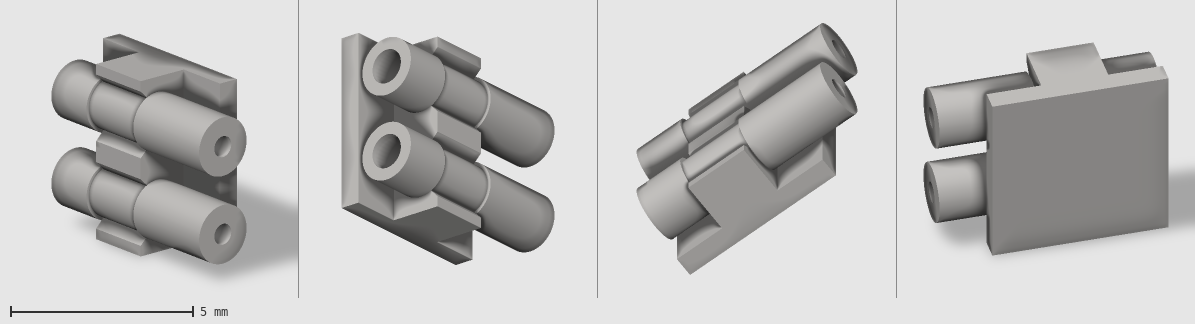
import cadquery as cq
import math

tube_length = 6.3
tube_pitch = 2.54
tube_count = 2
collar_radius = 0.85
collar_length = 1.5
neck_radius = 0.75
neck_length = 2.0

mouth_radius = 0.5
mouth_end_radius = 0.405
mouth_depth = collar_length
bore_radius = 0.3
funnel_length = 0.03

plate_length = 5.0
plate_thickness = 0.6
holder_height = tube_count * tube_pitch
rib_width = 1.9
rib_front_depth = 2.135
notch_half_opening = 0.965

axis_y = -1.59
rib_start = (plate_length - rib_width) / 2
tube_heights = [(i + 0.5) * tube_pitch for i in range(tube_count)]


def cylinder_along_x(radius, start, length, height):
    return (
        cq.Workplane("YZ", origin=(start, axis_y, height))
        .circle(radius)
        .extrude(length)
    )


def snap_in_notch(height):
    """Round seat for a tube neck with 45 degree lead-in faces at the front."""
    front_y = -rib_front_depth
    axis_half_opening = notch_half_opening - (axis_y - front_y)
    half_diagonal = math.sqrt(neck_radius**2 - axis_half_opening**2 / 2) / math.sqrt(2)
    seat_offset = half_diagonal - axis_half_opening / 2
    seat_y = axis_y - seat_offset
    seat_half_opening = axis_half_opening + seat_offset
    lead_in = (
        cq.Workplane("YZ", origin=(rib_start, 0, height))
        .polyline([
            (front_y, -notch_half_opening),
            (front_y, notch_half_opening),
            (seat_y, seat_half_opening),
            (seat_y, -seat_half_opening),
        ])
        .close()
        .extrude(rib_width)
    )
    return lead_in.union(cylinder_along_x(neck_radius, rib_start, rib_width, height))


def make_holder():
    plate = cq.Workplane("XY").box(plate_length, plate_thickness, holder_height, centered=False)
    plate = plate.translate((0, -plate_thickness, 0))
    rib = cq.Workplane("XY").box(rib_width, rib_front_depth, holder_height, centered=False)
    rib = rib.translate((rib_start, -rib_front_depth, 0))
    holder = plate.union(rib)
    for height in tube_heights:
        holder = holder.cut(snap_in_notch(height))
    return holder


def make_tube(height):
    """Tube with a recessed neck, a tapered mouth, a funnel and a through bore."""
    neck_end = collar_length + neck_length
    funnel_end = mouth_depth + funnel_length
    profile = [
        (0, mouth_radius),
        (0, collar_radius),
        (collar_length, collar_radius),
        (collar_length, neck_radius),
        (neck_end, neck_radius),
        (neck_end, collar_radius),
        (tube_length, collar_radius),
        (tube_length, bore_radius),
        (funnel_end, bore_radius),
        (mouth_depth, mouth_end_radius),
    ]
    return (
        cq.Workplane("XY", origin=(0, axis_y, height))
        .polyline(profile)
        .close()
        .revolve(360, (0, 0, 0), (1, 0, 0))
    )


holder = make_holder()
tubes = [make_tube(height) for height in tube_heights]

result = cq.Compound.makeCompound([holder.val(), *[tube.val() for tube in tubes]])